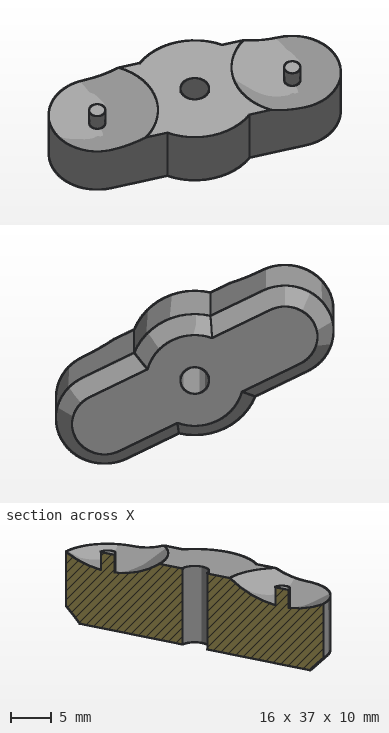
import cadquery as cq

length = 37.0
height = 10.0
hub_diameter = 16.0
arm_width = 12.0
bottom_chamfer = 2.0

hole_diameter = 3.5
pin_diameter = 2.0

dish_sphere_radius = 13.0
dish_depth = 2.35

end_offset = (length - arm_width) / 2


def make_arms():
    """Rounded bar along Y with a chamfered bottom edge."""
    bar = cq.Workplane("XY").slot2D(length, arm_width, 90).extrude(height)
    return bar.faces("<Z").chamfer(bottom_chamfer)


def make_hub():
    """Central disc with a chamfered bottom edge."""
    disc = cq.Workplane("XY").circle(hub_diameter / 2).extrude(height)
    return disc.faces("<Z").chamfer(bottom_chamfer)


def make_dish(y):
    """Sphere that cuts a shallow dish into the top face."""
    sphere_z = height - dish_depth + dish_sphere_radius
    return cq.Workplane("XY").sphere(dish_sphere_radius).translate((0, y, sphere_z))


def make_pin(y):
    """Pin rooted in the body and ending level with the top face."""
    return cq.Workplane("XY").center(0, y).circle(pin_diameter / 2).extrude(height)


body = make_arms().union(make_hub())
for end_y in (-end_offset, end_offset):
    body = body.cut(make_dish(end_y)).union(make_pin(end_y))

hole = cq.Workplane("XY").circle(hole_diameter / 2).extrude(height)
result = body.cut(hole)